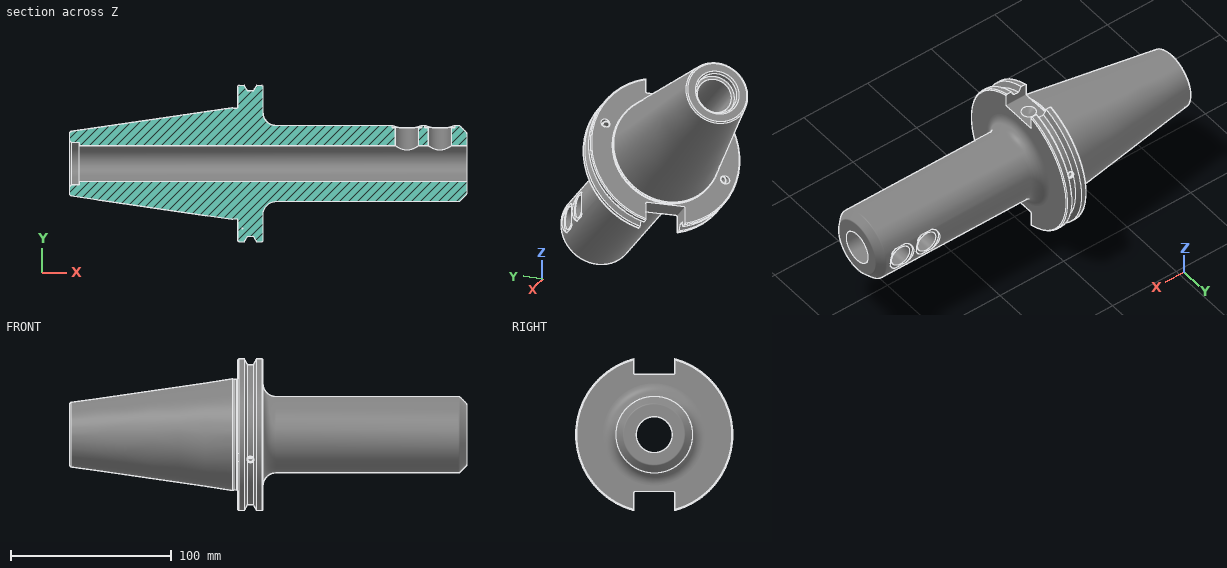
import cadquery as cq
import math


GAUGE_DIA = 69.85
TAPER_LENGTH = 101.6
TAPER_RATIO = 7 / 24
TAPER_END_DIA = GAUGE_DIA - TAPER_RATIO * TAPER_LENGTH
TAPER_END_CHAMFER = 0.8
RELIEF_DIA = 69.25
RELIEF_SIDE_LENGTH = 0.75

FLANGE_DIA = 98.06
FLANGE_START = 3.18
FLANGE_WIDTH = 15.87
FLANGE_END = FLANGE_START + FLANGE_WIDTH
FLANGE_EDGE_CHAMFER = 0.7
GROOVE_CENTER = 11.1
GROOVE_FLOOR_DIA = 91.0
GROOVE_FLOOR_WIDTH = 3.6
GROOVE_WALL_ANGLE = 30.0

NOSE_DIA = 47.75
NOSE_END = 146.0
NOSE_CHAMFER = 4.7
NOSE_EDGE_ROUND = 1.2
NOSE_FILLET = 7.94

KEYWAY_WIDTH = 25.5
KEYWAY_FLOOR_TOP = 37.7
KEYWAY_FLOOR_BOTTOM = 35.5
KEYWAY_CORNER_FILLET = 0.7

SPOT_DIA = 9.53
SPOT_POINT_ANGLE = 118.0

BORE_DIA = 22.23
PILOT_DIA = 26.2
PILOT_DEPTH = 6.0
PILOT_CHAMFER = 1.2

SCREW_DIA = 14.35
SPOT_FACE_DIA = 18.6
SPOT_FACE_DEPTH = 1.5
SCREW_POSITIONS = (108.6, 129.1)

COOLANT_ANGLE = 20.0
COOLANT_CIRCLE_RADIUS = 41.8
COOLANT_SLANT = 30.0
FACE_HOLE_DIA = 4.13
FACE_MOUTH_DIA = 5.0
FACE_MOUTH_DEPTH = 2.0
GROOVE_HOLE_DIA = 3.24
GROOVE_MOUTH_DIA = 4.2
GROOVE_MOUTH_DEPTH = 1.0


def revolve_about_x(profile):
    return profile.close().revolve(360, (0, 0, 0), (1, 0, 0))


def make_body():
    taper_end_radius = TAPER_END_DIA / 2
    flange_radius = FLANGE_DIA / 2
    flange_edge_radius = flange_radius - FLANGE_EDGE_CHAMFER
    floor_radius = GROOVE_FLOOR_DIA / 2
    floor_half = GROOVE_FLOOR_WIDTH / 2
    mouth_half = floor_half + (flange_radius - floor_radius) * math.tan(math.radians(GROOVE_WALL_ANGLE))
    nose_radius = NOSE_DIA / 2
    chamfer_start = NOSE_END - NOSE_CHAMFER
    nose_face_radius = nose_radius - NOSE_CHAMFER
    round_tangent = NOSE_EDGE_ROUND * math.tan(math.radians(45 / 2))
    round_leg = round_tangent * math.sqrt(0.5)
    fillet_mid = NOSE_FILLET * (1 - math.sqrt(0.5))
    taper_start = -TAPER_LENGTH + TAPER_END_CHAMFER
    taper_start_radius = taper_end_radius + TAPER_END_CHAMFER * TAPER_RATIO / 2

    profile = (
        cq.Workplane("XY")
        .moveTo(-TAPER_LENGTH, 0)
        .lineTo(-TAPER_LENGTH, taper_end_radius - TAPER_END_CHAMFER)
        .lineTo(taper_start, taper_start_radius)
        .lineTo(0, GAUGE_DIA / 2)
        .lineTo(RELIEF_SIDE_LENGTH, RELIEF_DIA / 2)
        .lineTo(FLANGE_START - RELIEF_SIDE_LENGTH, RELIEF_DIA / 2)
        .lineTo(FLANGE_START, GAUGE_DIA / 2)
        .lineTo(FLANGE_START, flange_edge_radius)
        .lineTo(FLANGE_START + FLANGE_EDGE_CHAMFER, flange_radius)
        .lineTo(GROOVE_CENTER - mouth_half, flange_radius)
        .lineTo(GROOVE_CENTER - floor_half, floor_radius)
        .lineTo(GROOVE_CENTER + floor_half, floor_radius)
        .lineTo(GROOVE_CENTER + mouth_half, flange_radius)
        .lineTo(FLANGE_END - FLANGE_EDGE_CHAMFER, flange_radius)
        .lineTo(FLANGE_END, flange_edge_radius)
        .lineTo(FLANGE_END, nose_radius + NOSE_FILLET)
        .threePointArc(
            (FLANGE_END + fillet_mid, nose_radius + fillet_mid),
            (FLANGE_END + NOSE_FILLET, nose_radius),
        )
        .lineTo(chamfer_start - round_tangent, nose_radius)
        .tangentArcPoint((chamfer_start + round_leg, nose_radius - round_leg), relative=False)
        .lineTo(NOSE_END - round_leg, nose_face_radius + round_leg)
        .tangentArcPoint((NOSE_END, nose_face_radius - round_tangent), relative=False)
        .lineTo(NOSE_END, 0)
    )
    return revolve_about_x(profile)


def make_bore():
    pilot_radius = PILOT_DIA / 2
    pilot_end = -TAPER_LENGTH + PILOT_DEPTH
    bore_radius = BORE_DIA / 2
    profile = (
        cq.Workplane("XY")
        .moveTo(-TAPER_LENGTH, 0)
        .lineTo(-TAPER_LENGTH, pilot_radius + PILOT_CHAMFER)
        .lineTo(-TAPER_LENGTH + PILOT_CHAMFER, pilot_radius)
        .lineTo(pilot_end, pilot_radius)
        .lineTo(pilot_end, bore_radius)
        .lineTo(NOSE_END, bore_radius)
        .lineTo(NOSE_END, 0)
    )
    return revolve_about_x(profile)


def make_keyway(floor_height):
    """Slot across the flange at +Z, from the floor out past the rim."""
    height = FLANGE_DIA / 2 - floor_height
    return (
        cq.Workplane("XY")
        .box(FLANGE_WIDTH, KEYWAY_WIDTH, height, centered=(False, True, False))
        .edges("|X and <Z")
        .fillet(KEYWAY_CORNER_FILLET)
        .translate((FLANGE_START, 0, floor_height))
    )


def make_spot():
    """Cone with its mouth in the upper keyway floor and its point toward the axis."""
    radius = SPOT_DIA / 2
    depth = radius / math.tan(math.radians(SPOT_POINT_ANGLE / 2))
    mouth_center = cq.Vector(GROOVE_CENTER, 0, KEYWAY_FLOOR_TOP)
    cone = cq.Solid.makeCone(radius, 0, depth, mouth_center, cq.Vector(0, 0, -1))
    return cq.Workplane(cone)


def make_screw_hole(x):
    nose_radius = NOSE_DIA / 2
    hole = cq.Workplane("XZ").center(x, 0).circle(SCREW_DIA / 2).extrude(-nose_radius)
    spot_face = (
        cq.Workplane("XZ", origin=(0, nose_radius, 0))
        .center(x, 0)
        .circle(SPOT_FACE_DIA / 2)
        .extrude(SPOT_FACE_DEPTH)
    )
    return hole.union(spot_face)


def make_cylinder(diameter, start, direction, before, after):
    """Cylinder along a direction, reaching the given lengths before and after its start point."""
    base = start - direction * before
    return cq.Workplane(cq.Solid.makeCylinder(diameter / 2, before + after, base, direction))


def make_coolant_holes():
    """Connected pair of drillings on the +Y side of the flange, before turning about X."""
    slant = math.radians(COOLANT_SLANT)
    slant_direction = cq.Vector(math.cos(slant), -math.sin(slant), 0)
    face_point = cq.Vector(FLANGE_START, COOLANT_CIRCLE_RADIUS, 0)
    slant_length = (GROOVE_CENTER - FLANGE_START) / math.cos(slant)
    meeting_radius = COOLANT_CIRCLE_RADIUS - slant_length * math.sin(slant)

    inward = cq.Vector(0, -1, 0)
    groove_floor_radius = GROOVE_FLOOR_DIA / 2
    rim_height = FLANGE_DIA / 2 - groove_floor_radius
    groove_point = cq.Vector(GROOVE_CENTER, groove_floor_radius, 0)
    groove_depth = groove_floor_radius - meeting_radius

    face_hole = make_cylinder(FACE_HOLE_DIA, face_point, slant_direction, 0, slant_length)
    face_mouth = make_cylinder(
        FACE_MOUTH_DIA, face_point, slant_direction, FACE_MOUTH_DIA, FACE_MOUTH_DEPTH
    )
    groove_hole = make_cylinder(GROOVE_HOLE_DIA, groove_point, inward, 0, groove_depth)
    groove_mouth = make_cylinder(
        GROOVE_MOUTH_DIA, groove_point, inward, rim_height, GROOVE_MOUTH_DEPTH
    )
    return face_hole.union(face_mouth).union(groove_hole).union(groove_mouth)


result = make_body().cut(make_bore())

result = result.cut(make_keyway(KEYWAY_FLOOR_TOP))
result = result.cut(make_keyway(KEYWAY_FLOOR_BOTTOM).rotate((0, 0, 0), (1, 0, 0), 180))

result = result.cut(make_spot())

for screw_x in SCREW_POSITIONS:
    result = result.cut(make_screw_hole(screw_x))

for turn in (0, 180):
    coolant_holes = make_coolant_holes().rotate((0, 0, 0), (1, 0, 0), COOLANT_ANGLE + turn)
    result = result.cut(coolant_holes)